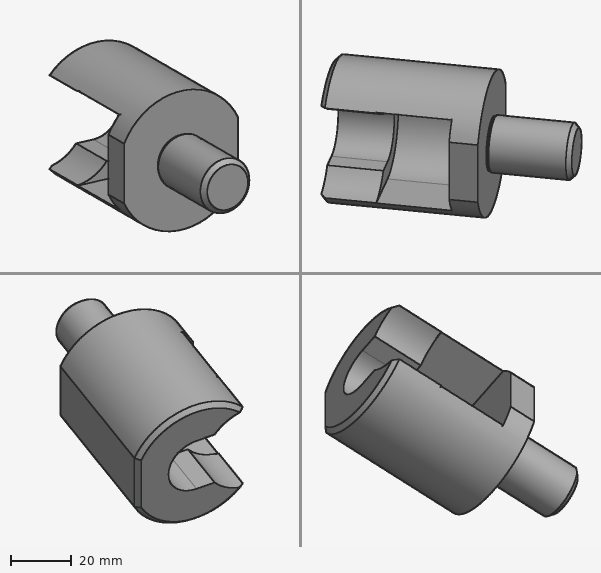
import cadquery as cq

total_length = 82.55
body_length = 54.0
body_radius = 24.6
body_chamfer = 1.65
flat_to_flat = 44.4

stub_radius = 9.6
stub_chamfer = 1.65
relief_length = 0.5
relief_depth = 0.4

neck_radius = 10.4
neck_length = 18.9
mouth_radius = 16.7
mouth_offset = 19.8
head_radius = 16.75
head_end = 44.3


def cylinder_x(radius, start, end, y=0.0):
    """Cylinder along X from start to end, centred at the given Y."""
    return cq.Workplane("YZ", origin=(start, y, 0)).circle(radius).extrude(end - start)


def open_slot(radius, start, end):
    """Round-bottomed channel centred on the axis and open towards -Y."""
    length = end - start
    channel = cq.Workplane("XY").box(
        length, body_radius, 2 * radius, centered=(False, False, True)
    ).translate((start, -body_radius, 0))
    return cylinder_x(radius, start, end).union(channel)


def make_body():
    """Chamfered cylinder with two parallel flats; the chamfer follows the flats."""
    blank = cylinder_x(body_radius, 0, body_length)
    flats = cq.Workplane("XY").box(
        body_length, flat_to_flat, 2 * body_radius, centered=(False, True, True)
    )
    return blank.intersect(flats).faces("<X").chamfer(body_chamfer)


def make_stub():
    """Chamfered stub with a shallow, bevelled relief groove at the shoulder."""
    relief_end = body_length + relief_length
    relief = cylinder_x(stub_radius - relief_depth, body_length, relief_end)
    shank = cylinder_x(stub_radius, relief_end, total_length)
    shank = shank.faces(">X").chamfer(stub_chamfer).faces("<X").chamfer(relief_depth)
    return relief.union(shank)


neck = open_slot(neck_radius, 0, neck_length)
mouth = cylinder_x(mouth_radius, 0, neck_length, -mouth_offset)
head = open_slot(head_radius, neck_length, head_end)

result = make_body().union(make_stub()).cut(neck).cut(mouth).cut(head)